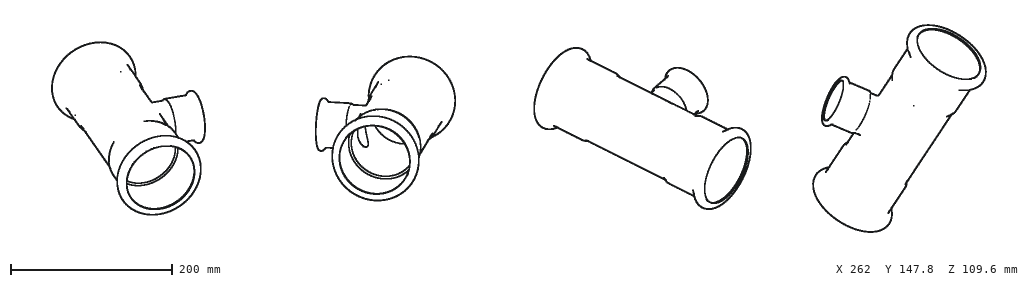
import cadquery as cq
import math

RUN_LENGTH = 262.0
BRANCH_REACH = 93.0

RUN = dict(
    tube_radius=88.8 / 2,
    tube_bore=41.1,
    socket_radius=93.0 / 2,
    socket_bore=44.5,
    bead_outer_radius=54.8,
    bead_round=6.5,
    bead_wall=1.96,
    socket_end=63.5,
    tube_start=67.0,
    blend=1.5,
)

BRANCH = dict(
    tube_radius=53.5 / 2,
    tube_bore=25.0,
    socket_radius=57.0 / 2,
    socket_bore=27.0,
    bead_outer_radius=33.0,
    bead_round=3.1,
    bead_wall=1.5,
    socket_end=37.5,
    tube_start=40.5,
    blend=1.0,
)
JUNCTION_FILLET = 1.5
PICK_MARGIN = 0.03


def bead_arc(size, round_radius):
    """Start, middle and end of the bead arc, from the mouth side to its 45 degree tangent."""
    center_radius = size["bead_outer_radius"] - size["bead_round"]
    depth = size["bead_round"]
    diagonal = round_radius * math.sqrt(0.5)
    return (
        (center_radius, depth - round_radius),
        (center_radius + diagonal, depth - diagonal),
        (center_radius + diagonal, depth + diagonal),
    )


def cone_end_depth(arc_end, radius):
    """Depth at which the 45 degree cone behind the bead comes down to a radius."""
    return arc_end[1] + arc_end[0] - radius


def revolve_end(profile):
    """Turn a (radius, depth) profile about the end's axis, which is Z."""
    return profile.close().revolve(360, (0, 0, 0), (0, 1, 0))


def round_rings(body, size, depths, radius):
    """Fillet the circular edges of a turned body that lie at the given depths."""
    reach = size["bead_outer_radius"]
    for depth in depths:
        ring_zone = cq.selectors.BoxSelector(
            (-reach, -reach, depth - PICK_MARGIN),
            (reach, reach, depth + PICK_MARGIN),
        )
        body = body.edges("%CIRCLE").edges(ring_zone).fillet(radius)
    return body


def outer_end(size, length):
    """Outside of one end: mouth at z = 0, tube running on to z = length."""
    arc_start, arc_middle, arc_end = bead_arc(size, size["bead_round"])
    cone_end = cone_end_depth(arc_end, size["socket_radius"])
    body = revolve_end(
        cq.Workplane("XZ")
        .lineTo(*arc_start)
        .threePointArc(arc_middle, arc_end)
        .lineTo(size["socket_radius"], cone_end)
        .lineTo(size["socket_radius"], size["socket_end"])
        .lineTo(size["tube_radius"], size["tube_start"])
        .lineTo(size["tube_radius"], length)
        .lineTo(0, length)
    )
    return round_rings(body, size, (cone_end, size["socket_end"], size["tube_start"]), size["blend"])


def bore_end(size, length):
    """Hollow of one end: mouth lip, seal groove, socket bore with a square stop, tube bore."""
    arc_start, arc_middle, arc_end = bead_arc(size, size["bead_round"] - size["bead_wall"])
    cone_end = cone_end_depth(arc_end, size["socket_bore"])
    body = revolve_end(
        cq.Workplane("XZ")
        .lineTo(size["socket_bore"], 0)
        .lineTo(size["socket_bore"], size["bead_wall"])
        .lineTo(*arc_start)
        .threePointArc(arc_middle, arc_end)
        .lineTo(size["socket_bore"], cone_end)
        .lineTo(size["socket_bore"], size["socket_end"])
        .lineTo(size["tube_bore"], size["socket_end"])
        .lineTo(size["tube_bore"], length)
        .lineTo(0, length)
    )
    return round_rings(body, size, (cone_end,), size["blend"] + size["bead_wall"])


def run_pair(end):
    """Place one end with its mouth at -X and mirror it to make the whole run."""
    half = end.rotate((0, 0, 0), (0, 1, 0), 90).translate((-RUN_LENGTH / 2, 0, 0))
    return half.union(half.mirror("YZ"))


def branch(end):
    """Place one end with its mouth at +Y and its tube ending on the run axis."""
    return end.rotate((0, 0, 0), (1, 0, 0), 90).translate((0, BRANCH_REACH, 0))


outer = run_pair(outer_end(RUN, RUN_LENGTH / 2)).union(branch(outer_end(BRANCH, BRANCH_REACH)))
junction_zone = cq.selectors.BoxSelector(
    (-BRANCH["bead_outer_radius"], 0, -BRANCH["bead_outer_radius"]),
    (BRANCH["bead_outer_radius"], RUN["tube_radius"] + JUNCTION_FILLET, BRANCH["bead_outer_radius"]),
    boundingbox=True,
)
outer = outer.edges(junction_zone).edges("not(%LINE or %CIRCLE)").fillet(JUNCTION_FILLET)

result = outer.cut(run_pair(bore_end(RUN, RUN_LENGTH / 2))).cut(branch(bore_end(BRANCH, BRANCH_REACH)))